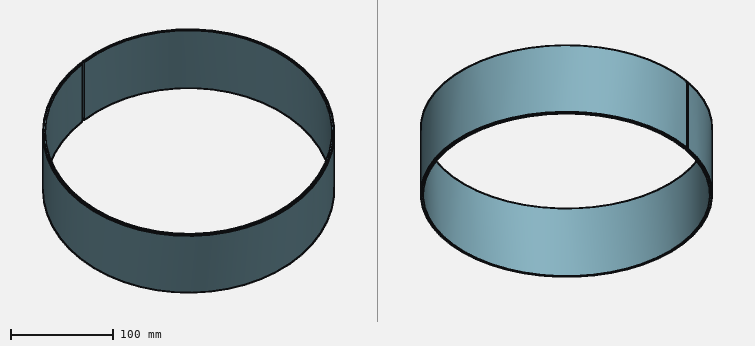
import cadquery as cq

outer_diameter = 285.0
height = 80.0
wall_thickness = 2.5
rim_chamfer = 0.75
sweep_angle = 359.0

outer_radius = outer_diameter / 2
inner_radius = outer_radius - wall_thickness
flat_rim_radius = outer_radius - rim_chamfer

wall_section = (
    cq.Workplane("XZ")
    .moveTo(-inner_radius, 0)
    .lineTo(-flat_rim_radius, 0)
    .lineTo(-outer_radius, rim_chamfer)
    .lineTo(-outer_radius, height - rim_chamfer)
    .lineTo(-flat_rim_radius, height)
    .lineTo(-inner_radius, height)
    .close()
)

result = wall_section.revolve(sweep_angle, (0, 0, 0), (0, 1, 0))